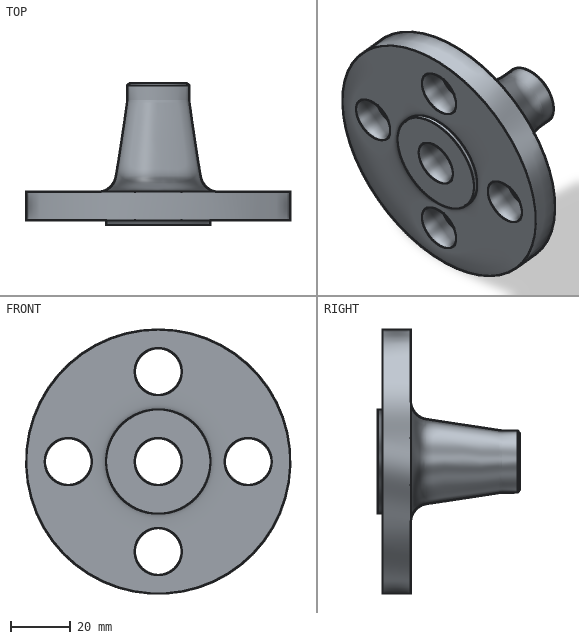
import cadquery as cq
import math


flange_diameter = 88.9
raised_face_diameter = 35.1
raised_face_height = 1.6
flange_thickness = 11.2

overall_length = 47.8
weld_end_diameter = 21.0
weld_end_length = 6.3
hub_base_diameter = 30.2
hub_fillet_radius = 6.0
weld_land = 1.6
bevel_angle = 37.5

bore_diameter = 15.7
bolt_count = 4
bolt_hole_diameter = 15.7
bolt_circle_diameter = 60.5

flange_radius = flange_diameter / 2
raised_face_radius = raised_face_diameter / 2
weld_end_radius = weld_end_diameter / 2
land_radius = bore_diameter / 2 + weld_land
bevel_length = (weld_end_radius - land_radius) * math.tan(math.radians(bevel_angle))
hub_base_radius = hub_base_diameter / 2
taper_end = overall_length - weld_end_length
edge_tolerance = 0.01


def make_blank():
    """Revolve the half section, without bore or hub fillets, about the Y axis."""
    half_section = [
        (0, 0),
        (raised_face_radius, 0),
        (raised_face_radius, raised_face_height),
        (flange_radius, raised_face_height),
        (flange_radius, flange_thickness),
        (hub_base_radius, flange_thickness),
        (weld_end_radius, taper_end),
        (weld_end_radius, overall_length - bevel_length),
        (land_radius, overall_length),
        (0, overall_length),
    ]
    return cq.Workplane("ZY").polyline(half_section).close().revolve(360, (0, 0), (0, 1))


def circular_edge(body, radius, height):
    """Pick the circle of the given radius about the Y axis at Y = height."""

    def matches(edge):
        if edge.geomType() != "CIRCLE":
            return False
        same_radius = abs(edge.radius() - radius) < edge_tolerance
        same_height = abs(edge.Center().y - height) < edge_tolerance
        return same_radius and same_height

    return body.edges().filter(matches)


def blend_hub(body):
    """Round the taper into the disc and into the straight weld end."""
    body = circular_edge(body, hub_base_radius, flange_thickness).fillet(hub_fillet_radius)
    return circular_edge(body, weld_end_radius, taper_end).fillet(hub_fillet_radius)


def cut_bore(body):
    """Drill the central bore right through."""
    bore = cq.Workplane("XZ").circle(bore_diameter / 2).extrude(-overall_length)
    return body.cut(bore)


def cut_bolt_holes(body):
    """Drill the bolt holes through the disc, evenly spaced on the bolt circle."""
    holes = (
        cq.Workplane("XZ")
        .polarArray(bolt_circle_diameter / 2, 0, 360, bolt_count)
        .circle(bolt_hole_diameter / 2)
        .extrude(-flange_thickness)
    )
    return body.cut(holes)


flange = make_blank()
flange = blend_hub(flange)
flange = cut_bore(flange)
result = cut_bolt_holes(flange)